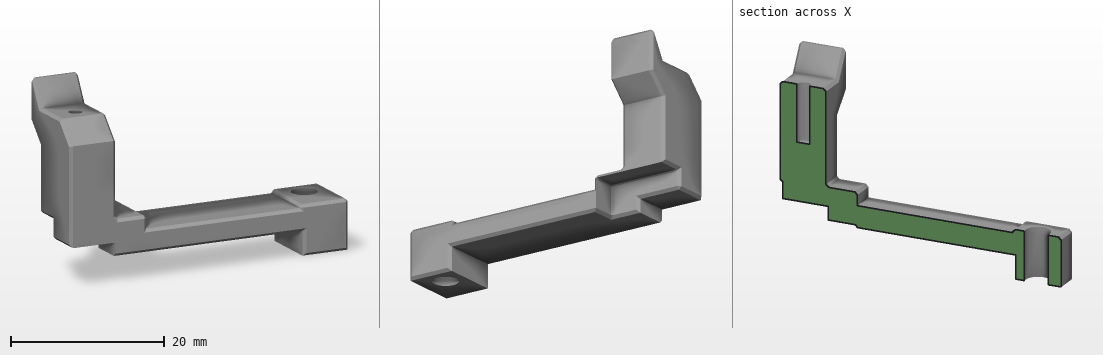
import cadquery as cq
import math

width = 8.9
length = 40.5
height = 25.5
edge_break = 0.395
corner_relief = 0.15

foot_length = 6.55
bar_bottom = 3.35
bar_front = 6.52
bar_top = 6.5
pad_length = 7.0
pad_top = 6.95
pad_front = length - pad_length
step_top = 8.35
step_back = 11.18
web_bevel = 0.35

upright_depth = 6.65
upright_bottom = 5.25
shoulder_top = 22.0
shoulder_bevel = 3.0
finger_reach = 2.75
finger_root = 17.0
finger_tip_width = 0.8
finger_slope = 60.0

notch_width = 3.6
notch_back = 10.77
notch_top = 7.9

mount_hole_diameter = 3.5
mount_hole_x = 3.15
mount_hole_y = 36.9
pilot_hole_diameter = 1.82
pilot_hole_x = 3.65
pilot_hole_y = 3.35
pilot_hole_depth = 8.1

TOLERANCE = 0.005


def make_bar():
    """Bar with foot, pad and step, plus the root of the upright, as one side profile."""
    outline = [
        (length, 0),
        (length - foot_length, 0),
        (length - foot_length, bar_bottom),
        (bar_front, bar_bottom),
        (bar_front, upright_bottom),
        (0, upright_bottom),
        (0, finger_root),
        (upright_depth, finger_root),
        (upright_depth, step_top + web_bevel),
        (upright_depth + web_bevel, step_top),
        (step_back, step_top),
        (step_back, bar_top),
        (pad_front, bar_top),
        (pad_front, pad_top),
        (length, pad_top),
    ]
    return cq.Workplane("YZ").polyline(outline).close().extrude(width)


def make_upright():
    """Upright with the overhanging finger, as one front profile."""
    finger_right = finger_tip_width - finger_reach
    finger_run = (height - shoulder_top) / math.tan(math.radians(finger_slope))
    outline = [
        (0, upright_bottom),
        (0, finger_root),
        (-finger_reach, finger_root + finger_reach),
        (-finger_reach, height - edge_break),
        (-finger_reach + edge_break, height),
        (finger_right, height),
        (finger_right + finger_run, shoulder_top),
        (width - shoulder_bevel, shoulder_top),
        (width, shoulder_top - shoulder_bevel),
        (width, upright_bottom),
    ]
    return cq.Workplane("XZ").polyline(outline).close().extrude(-upright_depth)


def is_at(low, high, value):
    """True where a span is flat and sits at the given coordinate."""
    return abs(low - value) < TOLERANCE and abs(high - value) < TOLERANCE


def is_broken(edge):
    """True for the outer edges that carry the chamfer."""
    box = edge.BoundingBox()
    at_bar_front = is_at(box.ymin, box.ymax, bar_front)
    at_bar_bottom = is_at(box.zmin, box.zmax, bar_bottom)
    at_upright_bottom = is_at(box.zmin, box.zmax, upright_bottom)
    at_notch_back = is_at(box.ymin, box.ymax, notch_back)
    beyond_upright = box.ymax > upright_depth + TOLERANCE
    in_notch = box.ymax < notch_back + TOLERANCE and box.zmax < notch_top + TOLERANCE
    across_bar = box.xmax - box.xmin > width - TOLERANCE

    on_front = is_at(box.ymin, box.ymax, 0)
    on_back = is_at(box.ymin, box.ymax, upright_depth) and box.zmax > step_top + 2 * web_bevel
    on_left = is_at(box.xmin, box.xmax, 0) and beyond_upright and not in_notch
    on_right = is_at(box.xmin, box.xmax, width) and beyond_upright
    on_pad_top = across_bar and is_at(box.zmin, box.zmax, pad_top)
    on_step_end = is_at(box.zmin, box.zmax, step_top) and is_at(box.ymin, box.ymax, step_back)
    at_wall = is_at(box.xmin, box.xmax, notch_width)
    on_wall = at_wall and (at_upright_bottom or at_bar_front or at_bar_bottom)
    on_notch_back = at_notch_back and at_bar_bottom

    return any(
        [on_front, on_back, on_left, on_right, on_pad_top, on_step_end, on_wall, on_notch_back]
    )


def is_notch_corner(edge):
    """True for the three inner edges of the notch."""
    box = edge.BoundingBox()
    at_back = is_at(box.ymin, box.ymax, notch_back)
    at_top = is_at(box.zmin, box.zmax, notch_top)
    at_wall = is_at(box.xmin, box.xmax, notch_width)
    return (at_back and at_top) or (at_back and at_wall) or (at_top and at_wall)


def chamfer_where(solid, test, size):
    """Chamfer every edge that passes the test."""
    return solid.newObject(solid.edges().filter(test).vals()).chamfer(size)


notch = cq.Workplane("XY").box(notch_width, notch_back, notch_top, centered=False)
body = make_bar().union(make_upright()).clean().cut(notch)
body = chamfer_where(body, is_broken, edge_break)
body = chamfer_where(body, is_notch_corner, corner_relief)

mount_hole = (
    cq.Workplane("XY", origin=(mount_hole_x, mount_hole_y, 0))
    .circle(mount_hole_diameter / 2)
    .extrude(pad_top)
)

pilot_hole = (
    cq.Workplane("XY", origin=(pilot_hole_x, pilot_hole_y, shoulder_top))
    .circle(pilot_hole_diameter / 2)
    .extrude(-pilot_hole_depth)
)

result = body.cut(mount_hole).cut(pilot_hole)